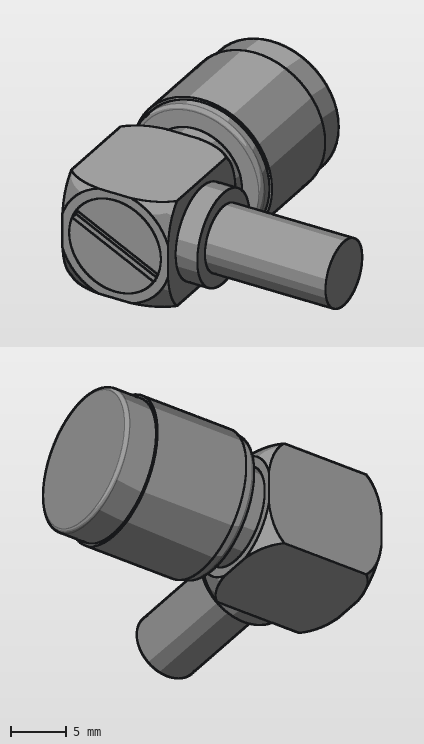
import cadquery as cq
import math

BLOCK_WIDTH = 11.05
BLOCK_LENGTH = 12.23
ROUNDING_RADIUS = 5.78
ROUNDING_DEPTH = 1.65
ROUNDING_BULGE = 0.2

NECK_DIAMETER = 9.68
NECK_LENGTH = 2.38

NUT_GRIP_DIAMETER = 14.55
NUT_END_DIAMETER = 14.0
NUT_FRONT_LENGTH = 1.23
NUT_GRIP_LENGTH = 9.62
TOTAL_LENGTH = 28.63
NUT_FRONT_FILLET = 0.4
NUT_BACK_FILLET = 0.35

OUTLET_HEIGHT = 6.13
COLLAR_DIAMETER = 9.45
COLLAR_LENGTH = 2.25
TUBE_DIAMETER = 6.67
TUBE_END = 20.38

CAP_DIAMETER = 9.6
CAP_THICKNESS = 1.43
SLOT_WIDTH = 1.0
SLOT_DEPTH = 0.72
SLOT_ANGLE = 26.5

BLOCK_HALF = BLOCK_WIDTH / 2
CORNER_RADIUS = BLOCK_HALF * math.sqrt(2)
NUT_START = BLOCK_LENGTH + NECK_LENGTH
GRIP_START = NUT_START + NUT_FRONT_LENGTH
GRIP_END = GRIP_START + NUT_GRIP_LENGTH


def cylinder_y(diameter, start, end):
    """Cylinder about the Y axis between two Y positions."""
    plane = cq.Plane(origin=(0, start, 0), xDir=(1, 0, 0), normal=(0, 1, 0))
    return cq.Workplane(plane).circle(diameter / 2).extrude(end - start)


def cylinder_x(diameter, start, end):
    """Cylinder about the cable outlet axis between two X positions."""
    plane = cq.Plane(origin=(start, OUTLET_HEIGHT, 0), xDir=(0, 1, 0), normal=(1, 0, 0))
    return cq.Workplane(plane).circle(diameter / 2).extrude(end - start)


def rounding_envelope():
    """Round barrel with bowed ends; its side just touches the corner edges of the block."""
    chord_r = CORNER_RADIUS - ROUNDING_RADIUS
    chord = math.hypot(chord_r, ROUNDING_DEPTH)
    mid_r = (ROUNDING_RADIUS + CORNER_RADIUS) / 2 + ROUNDING_BULGE * ROUNDING_DEPTH / chord
    mid_depth = ROUNDING_DEPTH / 2 - ROUNDING_BULGE * chord_r / chord
    return (
        cq.Workplane("XY")
        .lineTo(ROUNDING_RADIUS, 0)
        .threePointArc((mid_r, mid_depth), (CORNER_RADIUS, ROUNDING_DEPTH))
        .lineTo(CORNER_RADIUS, BLOCK_LENGTH - ROUNDING_DEPTH)
        .threePointArc((mid_r, BLOCK_LENGTH - mid_depth), (ROUNDING_RADIUS, BLOCK_LENGTH))
        .lineTo(0, BLOCK_LENGTH)
        .close()
        .revolve(360, (0, 0, 0), (0, 1, 0))
    )


def make_elbow():
    """Rounded block with the neck, the cable outlet and the recess for the cap."""
    block = cq.Workplane("XY").box(BLOCK_WIDTH, BLOCK_LENGTH, BLOCK_WIDTH)
    block = block.translate((0, BLOCK_LENGTH / 2, 0)).intersect(rounding_envelope())
    neck = cylinder_y(NECK_DIAMETER, BLOCK_LENGTH, NUT_START)
    collar_end = BLOCK_HALF + COLLAR_LENGTH
    collar = cylinder_x(COLLAR_DIAMETER, BLOCK_HALF, collar_end)
    tube = cylinder_x(TUBE_DIAMETER, collar_end, TUBE_END)
    recess = cylinder_y(CAP_DIAMETER, 0, CAP_THICKNESS)
    return block.union(neck).union(collar).union(tube).cut(recess)


def make_nut():
    """Coupling nut: a wide grip between two narrower, rounded ends."""
    ends = cylinder_y(NUT_END_DIAMETER, NUT_START, TOTAL_LENGTH)
    ends = ends.faces("<Y").edges().fillet(NUT_FRONT_FILLET)
    ends = ends.faces(">Y").edges().fillet(NUT_BACK_FILLET)
    return ends.union(cylinder_y(NUT_GRIP_DIAMETER, GRIP_START, GRIP_END))


def make_cap():
    """Slotted screw cap, flush with the front of the block."""
    cap = cylinder_y(CAP_DIAMETER, 0, CAP_THICKNESS)
    slot = cq.Workplane("XY").box(CAP_DIAMETER, 2 * SLOT_DEPTH, SLOT_WIDTH)
    return cap.cut(slot).rotate((0, 0, 0), (0, 1, 0), SLOT_ANGLE)


elbow = make_elbow()
nut = make_nut()
cap = make_cap()

result = cq.Compound.makeCompound([elbow.val(), nut.val(), cap.val()])